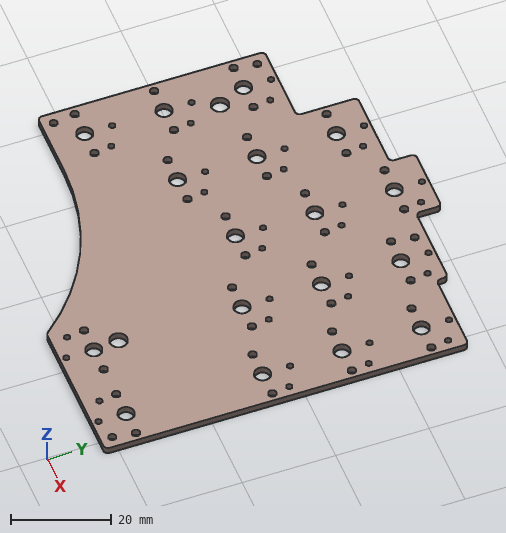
import cadquery as cq
import math

THICKNESS = 1.6
COLUMN_PITCH = 18.0
ROW_PITCH = 17.0
ROWS = 3
EDGE_MARGIN = 7.3
PLATE_DEPTH = 85.8
CORNER_RADIUS = 1.0
PALM_RADIUS = 50.0

PINKY_DROP = 18.5
SIDE_DROP = 5.5
INNER_DROP = 8.0

CENTRE_HOLE = 3.43
SIDE_POST_HOLE = 1.7
SIDE_POST_OFFSET = 5.5
PIN_HOLE = 1.27
PINS = [(0.0, 5.9), (5.0, 3.8)]

SCREW_HOLE = 3.73
CORNER_HOLE = 1.6
CORNER_OFFSET = 4.8
PINKY_SCREW_OFFSET = (2.6, -6.0)
THUMB_SCREW_OFFSET = (-0.6, 5.5)

pinky_x, ring_x, middle_x, index_x, inner_x = [COLUMN_PITCH * i for i in range(-2, 3)]
middle_y = PLATE_DEPTH / 2 - EDGE_MARGIN
pinky_y = middle_y - PINKY_DROP
side_y = middle_y - SIDE_DROP
inner_y = middle_y - INNER_DROP
thumb_y = -PLATE_DEPTH / 2 + EDGE_MARGIN
pinky_bottom_y = pinky_y - (ROWS - 1) * ROW_PITCH

columns = [
    (pinky_x, pinky_y),
    (ring_x, side_y),
    (middle_x, middle_y),
    (index_x, side_y),
    (inner_x, inner_y),
]
finger_keys = [(x, top - row * ROW_PITCH) for x, top in columns for row in range(ROWS)]
thumb_keys = [(index_x, thumb_y), (inner_x, thumb_y)]


def make_plate():
    """Stepped plate with a concave arc at the palm side and rounded corners."""
    left = pinky_x - EDGE_MARGIN
    right = inner_x + EDGE_MARGIN
    bottom = thumb_y - EDGE_MARGIN
    pinky_top = pinky_y + EDGE_MARGIN
    side_top = side_y + EDGE_MARGIN
    middle_top = middle_y + EDGE_MARGIN
    inner_top = inner_y + EDGE_MARGIN
    ring_left = ring_x - EDGE_MARGIN
    middle_left = middle_x - EDGE_MARGIN
    middle_right = middle_x + EDGE_MARGIN
    index_right = index_x + EDGE_MARGIN
    pinky_bottom = pinky_bottom_y - EDGE_MARGIN

    arc_end = (index_x - EDGE_MARGIN, bottom)
    arc_drop = pinky_bottom - bottom
    arc_width = math.sqrt(PALM_RADIUS**2 - (PALM_RADIUS - arc_drop) ** 2)
    arc_start = (arc_end[0] - arc_width, pinky_bottom)

    corners = [
        arc_end,
        (right, bottom),
        (right, inner_top),
        (index_right, inner_top),
        (index_right, side_top),
        (middle_right, side_top),
        (middle_right, middle_top),
        (middle_left, middle_top),
        (middle_left, side_top),
        (ring_left, side_top),
        (ring_left, pinky_top),
        (left, pinky_top),
        (left, pinky_bottom),
    ]
    outline = cq.Workplane("XY").moveTo(*arc_end)
    for corner in corners[1:]:
        outline = outline.lineTo(*corner)
    outline = outline.lineTo(*arc_start).tangentArcPoint(arc_end, relative=False)
    plate = outline.close().extrude(THICKNESS)
    return round_corners(plate, corners, CORNER_RADIUS)


def round_corners(plate, corners, radius):
    """Fillet the vertical edge that stands at each (x, y) corner."""
    for x, y in corners:
        edge = cq.selectors.NearestToPointSelector((x, y, THICKNESS / 2))
        plate = plate.edges("|Z").edges(edge).fillet(radius)
    return plate


def cut_holes(plate, points, diameter):
    """Cut a through hole at each (x, y) point."""
    holes = cq.Workplane("XY").pushPoints(points).circle(diameter / 2).extrude(THICKNESS)
    return plate.cut(holes)


def cut_switches(plate, keys, turn):
    """Cut the switch footprint at each key; a turn of -1 rotates it by 180 degrees."""
    posts = [(x + side * SIDE_POST_OFFSET, y) for x, y in keys for side in (-1, 1)]
    pins = [(x + turn * dx, y + turn * dy) for x, y in keys for dx, dy in PINS]
    plate = cut_holes(plate, keys, CENTRE_HOLE)
    plate = cut_holes(plate, posts, SIDE_POST_HOLE)
    return cut_holes(plate, pins, PIN_HOLE)


def cut_mounting_holes(plate):
    """Cut the small corner holes and the two larger screw holes."""
    corner_holes = [
        (pinky_x - CORNER_OFFSET, pinky_y + CORNER_OFFSET),
        (pinky_x - CORNER_OFFSET, pinky_bottom_y - CORNER_OFFSET),
        (index_x - CORNER_OFFSET, side_y + CORNER_OFFSET),
        (inner_x + CORNER_OFFSET, thumb_y - CORNER_OFFSET),
    ]
    screw_holes = [
        (pinky_x + PINKY_SCREW_OFFSET[0], pinky_y + PINKY_SCREW_OFFSET[1]),
        (index_x + THUMB_SCREW_OFFSET[0], thumb_y + THUMB_SCREW_OFFSET[1]),
    ]
    plate = cut_holes(plate, corner_holes, CORNER_HOLE)
    return cut_holes(plate, screw_holes, SCREW_HOLE)


result = make_plate()
result = cut_switches(result, finger_keys, 1)
result = cut_switches(result, thumb_keys, -1)
result = cut_mounting_holes(result)